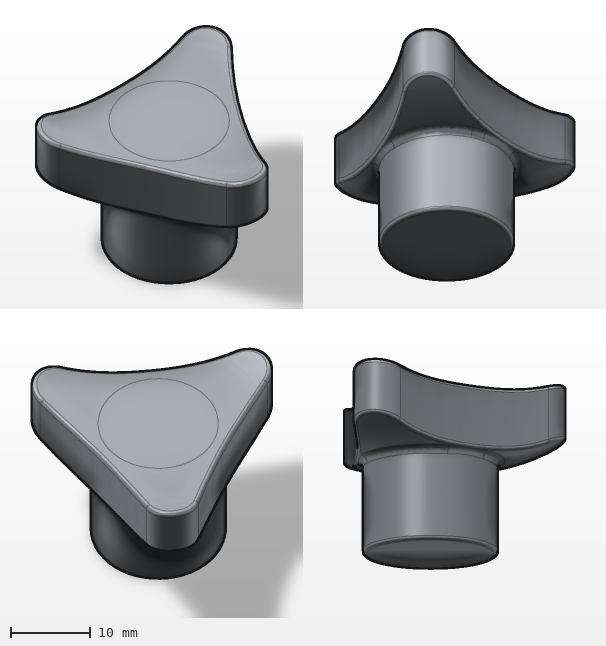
import cadquery as cq
import math

LOBE_COUNT = 3
LOBE_PITCH = 360 / LOBE_COUNT
FIRST_LOBE_ANGLE = 90
LOBE_RADIUS = 3.5
LOBE_CENTRE_RADIUS = 13.5
SIDE_ARC_RADIUS = 65.0

FLAT_RADIUS = 7.55
FLAT_HEIGHT = 20.05
DISH_ARC_RADIUS = 23.6
TOP_EDGE_RADIUS = 0.5

BOWL_FLAT_RADIUS = 6.4
BOWL_FLAT_HEIGHT = 11.83
BOWL_ARC_RADIUS = 19.8
BOTTOM_EDGE_RADIUS = 0.5

HUB_RADIUS = 17.0 / 2
HUB_EDGE_RADIUS = 0.5
NECK_RADIUS = 1.0

TRIM_ALLOWANCE = 0.5
REVOLVE_RADIUS = LOBE_CENTRE_RADIUS + LOBE_RADIUS + TRIM_ALLOWANCE
MIDDLE_HEIGHT = (FLAT_HEIGHT + BOWL_FLAT_HEIGHT) / 2
PICK_CLEARANCE = 0.1


def polar(radius, angle, centre=(0.0, 0.0)):
    """Point at a radius and an angle in degrees about a centre."""
    turn = math.radians(angle)
    return (centre[0] + radius * math.cos(turn), centre[1] + radius * math.sin(turn))


def rising_height(radius, flat_radius, flat_height, arc_radius):
    """Height at a radius on an arc that rises tangentially from the rim of a flat disc."""
    run = radius - flat_radius
    return flat_height + arc_radius - math.sqrt(arc_radius**2 - run**2)


def dish_point(radius):
    return (radius, rising_height(radius, FLAT_RADIUS, FLAT_HEIGHT, DISH_ARC_RADIUS))


def bowl_point(radius):
    return (radius, rising_height(radius, BOWL_FLAT_RADIUS, BOWL_FLAT_HEIGHT, BOWL_ARC_RADIUS))


def make_prism():
    """Plan outline: round lobes joined by shallow inward arcs tangent to them."""
    half_pitch = math.radians(LOBE_PITCH / 2)
    centre_distance = SIDE_ARC_RADIUS + LOBE_RADIUS
    lean = math.asin(LOBE_CENTRE_RADIUS * math.sin(half_pitch) / centre_distance)
    side_centre_radius = LOBE_CENTRE_RADIUS * math.cos(half_pitch) + centre_distance * math.cos(lean)
    side_middle_radius = side_centre_radius - SIDE_ARC_RADIUS
    half_sweep = LOBE_PITCH / 2 + math.degrees(lean)

    def lobe_point(index, turn):
        angle = FIRST_LOBE_ANGLE + index * LOBE_PITCH
        return polar(LOBE_RADIUS, angle + turn, polar(LOBE_CENTRE_RADIUS, angle))

    outline = cq.Workplane("XY").moveTo(*lobe_point(0, -half_sweep))
    for index in range(LOBE_COUNT):
        side_angle = FIRST_LOBE_ANGLE + (index + 0.5) * LOBE_PITCH
        side_middle = polar(side_middle_radius, side_angle)
        outline = outline.threePointArc(lobe_point(index, 0), lobe_point(index, half_sweep))
        outline = outline.threePointArc(side_middle, lobe_point(index + 1, -half_sweep))
    prism_height = dish_point(REVOLVE_RADIUS)[1]
    return outline.close().extrude(prism_height)


def make_lens():
    """Round blank between the bowl below and the dish above."""
    bowl_middle = bowl_point((BOWL_FLAT_RADIUS + REVOLVE_RADIUS) / 2)
    dish_middle = dish_point((FLAT_RADIUS + REVOLVE_RADIUS) / 2)
    return (
        cq.Workplane("XZ")
        .moveTo(0, BOWL_FLAT_HEIGHT)
        .lineTo(*bowl_point(BOWL_FLAT_RADIUS))
        .threePointArc(bowl_middle, bowl_point(REVOLVE_RADIUS))
        .lineTo(*dish_point(REVOLVE_RADIUS))
        .threePointArc(dish_middle, dish_point(FLAT_RADIUS))
        .lineTo(0, FLAT_HEIGHT)
        .close()
        .revolve(360, (0, 0), (0, 1))
    )


def rim_edges(body, above):
    """Edges of the lobed outline above or below the middle of the grip."""
    side_faces = body.faces(cq.selectors.TypeSelector("CYLINDER"))
    return [
        edge
        for edge in side_faces.edges("not |Z").vals()
        if (edge.Center().z > MIDDLE_HEIGHT) == above
    ]


def make_grip():
    body = make_lens().intersect(make_prism())
    body = body.newObject(rim_edges(body, above=True)).fillet(TOP_EDGE_RADIUS)
    return body.newObject(rim_edges(body, above=False)).fillet(BOTTOM_EDGE_RADIUS)


def make_hub():
    cylinder = cq.Workplane("XY").circle(HUB_RADIUS).extrude(MIDDLE_HEIGHT)
    return cylinder.faces("<Z").edges().fillet(HUB_EDGE_RADIUS)


def add_neck(body):
    """Round the inner corner where the hub meets the underside of the grip."""
    reach = HUB_RADIUS + PICK_CLEARANCE
    corner = cq.selectors.BoxSelector(
        (-reach, -reach, BOWL_FLAT_HEIGHT), (reach, reach, MIDDLE_HEIGHT), boundingbox=True
    )
    return body.edges(corner).fillet(NECK_RADIUS)


result = add_neck(make_grip().union(make_hub()))